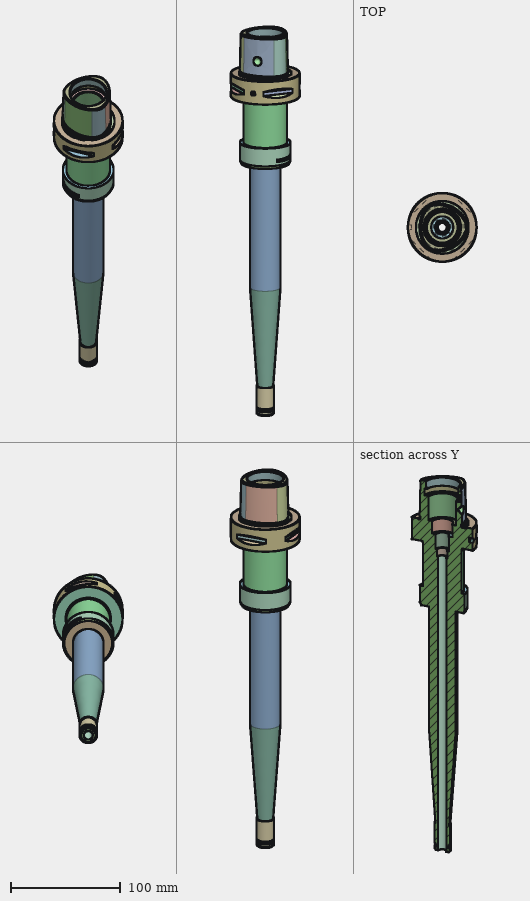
import cadquery as cq
import math

LENGTH = 359.0
COUPLING_LENGTH = 38.0
FLANGE_HEIGHT = 22.0
FLANGE_TOP = LENGTH - COUPLING_LENGTH
FLANGE_BOTTOM = FLANGE_TOP - FLANGE_HEIGHT
COLLAR_TOP = 255.5
COLLAR_BOTTOM = 236.2
TAPER_TOP = 119.2
PILOT_TOP = 26.5
PILOT_BOTTOM = 7.0
TIP_DISC_TOP = 4.0

FLANGE_DIAMETER = 63.0
NECK_DIAMETER = 40.0
COLLAR_DIAMETER = 46.3
SHANK_DIAMETER = 28.0
PILOT_DIAMETER = 16.0
TAPER_END_DIAMETER = 14.7
TIP_GROOVE_DIAMETER = 13.0

FLANGE_CHAMFER = 0.5
NECK_FLARE = 1.8
NECK_FLARE_WIDTH = 0.7
COLLAR_CHAMFER = 3.0
COLLAR_CHAMFER_WIDTH = 1.5
TIP_CHAMFER = 1.5

LOBES = 3
COUPLING_DIAMETER = 44.0
COUPLING_RADIUS = COUPLING_DIAMETER / 2
LOBE_HEIGHT = 1.5
COUPLING_DRAFT = 1 / 40
COUPLING_RIM_HEIGHT = 1.5
COUPLING_RIM_INSET = 0.7
SPANS_PER_SIDE = 8

RELIEF_DIAMETER = 48.0
RELIEF_ABOVE_FLANGE = 2.0
RELIEF_BELOW_FLANGE = 1.0
RELIEF_INSET = 1.0

MOUTH_DIAMETER = 34.0
ENTRY_DIAMETER = 33.0
MOUTH_CHAMFER = (MOUTH_DIAMETER - ENTRY_DIAMETER) / 2
LIP_DIAMETER = 32.0
LIP_DEPTH = 8.3
CLAMP_GROOVE_DIAMETER = 36.0
CLAMP_GROOVE_DEPTH = 14.5
BORE_DIAMETER = 28.0
BORE_CHAMFER_DIAMETER = 29.0
BORE_CHAMFER = (BORE_CHAMFER_DIAMETER - BORE_DIAMETER) / 2
BORE_DEPTH = 38.0
SOCKET_DIAMETER = 20.0
SOCKET_DEPTH = 50.3
SEAT_DIAMETER = 13.0
SEAT_DEPTH = 64.5
THROAT_DIAMETER = 10.0
THROAT_DEPTH = 71.8
COOLANT_DIAMETER = 8.3

DIMPLE_DIAMETER = 8.3
DIMPLE_DEPTH_FROM_TOP = 22.3
DIMPLE_DEPTH = DIMPLE_DIAMETER / 2

GRIP_DEPTH_FROM_FLANGE = 12.0
GRIP_Z = FLANGE_TOP - GRIP_DEPTH_FROM_FLANGE
GRIP_SLOT_DEPTH = 3.5
GRIP_SLOT_FLOOR = 3.5
GRIP_SLOT_MOUTH = 8.3
GRIP_SLOT_COUNT = 4

INDEX_HOLE_DIAMETER = 4.0
INDEX_HOLE_DEPTH = 3.5

BAND_TOP = 244.5
BAND_HEIGHT = 2.0
BAND_DEPTH = 0.5
BAND_HALF_ANGLE = 41


def turned_body():
    """Everything round below the coupling, revolved about Z."""
    flange, neck, collar = FLANGE_DIAMETER / 2, NECK_DIAMETER / 2, COLLAR_DIAMETER / 2
    shank, pilot, groove = SHANK_DIAMETER / 2, PILOT_DIAMETER / 2, TIP_GROOVE_DIAMETER / 2
    groove_slope = pilot - groove
    outline = [
        (0, 0),
        (pilot - TIP_CHAMFER, 0),
        (pilot, TIP_CHAMFER),
        (pilot, TIP_DISC_TOP),
        (groove, TIP_DISC_TOP),
        (groove, PILOT_BOTTOM - groove_slope),
        (pilot, PILOT_BOTTOM),
        (pilot, PILOT_TOP),
        (TAPER_END_DIAMETER / 2, PILOT_TOP),
        (shank, TAPER_TOP),
        (shank, COLLAR_BOTTOM),
        (collar - COLLAR_CHAMFER_WIDTH, COLLAR_BOTTOM),
        (collar, COLLAR_BOTTOM + COLLAR_CHAMFER),
        (collar, COLLAR_TOP),
        (neck, COLLAR_TOP),
        (neck, FLANGE_BOTTOM - NECK_FLARE),
        (neck + NECK_FLARE_WIDTH, FLANGE_BOTTOM),
        (flange - FLANGE_CHAMFER, FLANGE_BOTTOM),
        (flange, FLANGE_BOTTOM + FLANGE_CHAMFER),
        (flange, FLANGE_TOP - FLANGE_CHAMFER),
        (flange - FLANGE_CHAMFER, FLANGE_TOP),
        (0, FLANGE_TOP),
    ]
    return cq.Workplane("XZ").polyline(outline).close().revolve(360, (0, 0), (0, 1))


def lobe_point(radius, degrees):
    """Point of the constant-width three-lobed curve whose normal is at this angle."""
    angle = math.radians(degrees)
    reach = radius + LOBE_HEIGHT * math.cos(LOBES * angle)
    slope = -LOBES * LOBE_HEIGHT * math.sin(LOBES * angle)
    x = reach * math.cos(angle) - slope * math.sin(angle)
    y = reach * math.sin(angle) + slope * math.cos(angle)
    return x, y


def lobed_outline(radius, z):
    """Closed outline made of alternating lobe and flank curves, one lobe toward +X."""
    side_angle = 180 / LOBES
    outline = cq.Workplane("XY", origin=(0, 0, z)).moveTo(*lobe_point(radius, -side_angle / 2))
    for side in range(2 * LOBES):
        start = (side - 0.5) * side_angle
        angles = [start + side_angle * i / SPANS_PER_SIDE for i in range(SPANS_PER_SIDE + 1)]
        ends = [(-math.sin(math.radians(a)), math.cos(math.radians(a))) for a in (angles[0], angles[-1])]
        points = [lobe_point(radius, a) for a in angles]
        outline = outline.spline(points[1:], tangents=ends, includeCurrent=True)
    return outline.close()


def lobed_frustum(bottom_z, bottom_radius, top_z, top_radius):
    bottom = lobed_outline(bottom_radius, bottom_z).val()
    top = lobed_outline(top_radius, top_z).val()
    return cq.Workplane(cq.Solid.makeLoft([bottom, top], True))


def coupling():
    rim_z = LENGTH - COUPLING_RIM_HEIGHT
    rim_radius = COUPLING_RADIUS - COUPLING_DRAFT * (rim_z - FLANGE_TOP)
    shaft = lobed_frustum(FLANGE_TOP, COUPLING_RADIUS, rim_z, rim_radius)
    rim = lobed_frustum(rim_z, rim_radius, LENGTH, rim_radius - COUPLING_RIM_INSET)
    return shaft.union(rim)


def base_relief():
    """Undercut around the root of the coupling, sunk a little into the flange face."""
    bottom = FLANGE_TOP - RELIEF_BELOW_FLANGE
    height = RELIEF_BELOW_FLANGE + RELIEF_ABOVE_FLANGE
    ring = cq.Workplane("XY", origin=(0, 0, bottom)).circle(RELIEF_DIAMETER / 2).extrude(height)
    root_radius = COUPLING_RADIUS - RELIEF_INSET
    root = lobed_outline(root_radius, bottom).extrude(height)
    foot = lobed_frustum(bottom, COUPLING_RADIUS, FLANGE_TOP, root_radius)
    top = FLANGE_TOP + RELIEF_ABOVE_FLANGE
    top_radius = COUPLING_RADIUS - COUPLING_DRAFT * RELIEF_ABOVE_FLANGE
    shoulder = lobed_frustum(top - RELIEF_INSET, root_radius, top, top_radius)
    return ring.cut(root).cut(foot).cut(shoulder)


def stepped_bore():
    lip, groove, bore = LIP_DIAMETER / 2, CLAMP_GROOVE_DIAMETER / 2, BORE_DIAMETER / 2
    socket, seat, coolant = SOCKET_DIAMETER / 2, SEAT_DIAMETER / 2, COOLANT_DIAMETER / 2
    throat = THROAT_DIAMETER / 2
    steps = [
        (0, LENGTH),
        (MOUTH_DIAMETER / 2, LENGTH),
        (ENTRY_DIAMETER / 2, LENGTH - MOUTH_CHAMFER),
        (lip, LENGTH - LIP_DEPTH),
        (groove, LENGTH - LIP_DEPTH),
        (groove, LENGTH - CLAMP_GROOVE_DEPTH),
        (BORE_CHAMFER_DIAMETER / 2, LENGTH - CLAMP_GROOVE_DEPTH),
        (bore, LENGTH - CLAMP_GROOVE_DEPTH - BORE_CHAMFER),
        (bore, LENGTH - BORE_DEPTH),
        (socket, LENGTH - BORE_DEPTH),
        (socket, LENGTH - SOCKET_DEPTH),
        (seat, LENGTH - SOCKET_DEPTH),
        (seat, LENGTH - SEAT_DEPTH),
        (throat, LENGTH - SEAT_DEPTH),
        (throat, LENGTH - THROAT_DEPTH),
        (coolant, LENGTH - THROAT_DEPTH),
        (coolant, 0),
        (0, 0),
    ]
    return cq.Workplane("XZ").polyline(steps).close().revolve(360, (0, 0), (0, 1))


def grip_slots():
    """V-sided slots cut straight across the flange rim at the four diagonals."""
    rim = FLANGE_DIAMETER / 2
    floor_x = rim - GRIP_SLOT_DEPTH
    section = [
        (floor_x, GRIP_Z - GRIP_SLOT_FLOOR / 2),
        (rim, GRIP_Z - GRIP_SLOT_MOUTH / 2),
        (rim, GRIP_Z + GRIP_SLOT_MOUTH / 2),
        (floor_x, GRIP_Z + GRIP_SLOT_FLOOR / 2),
    ]
    slot = cq.Workplane("XZ").polyline(section).close().extrude(rim, both=True)
    step = 360 / GRIP_SLOT_COUNT
    return [slot.rotate((0, 0, 0), (0, 0, 1), (i + 0.5) * step) for i in range(GRIP_SLOT_COUNT)]


def drive_dimple():
    """Short cone-bottomed hole in the middle of the -X flank."""
    z = LENGTH - DIMPLE_DEPTH_FROM_TOP
    flank_radius = COUPLING_RADIUS - COUPLING_DRAFT * (z - FLANGE_TOP)
    surface_x = LOBE_HEIGHT - flank_radius
    section = [
        (surface_x - DIMPLE_DIAMETER, z),
        (surface_x - DIMPLE_DIAMETER, z + DIMPLE_DIAMETER / 2),
        (surface_x, z + DIMPLE_DIAMETER / 2),
        (surface_x + DIMPLE_DEPTH, z),
    ]
    return cq.Workplane("XZ").polyline(section).close().revolve(360, (0, z), (1, z))


def index_hole():
    """Blind hole in the flange rim on the -X side."""
    rim = cq.Workplane("YZ", origin=(-FLANGE_DIAMETER / 2, 0, GRIP_Z))
    return rim.circle(INDEX_HOLE_DIAMETER / 2).extrude(INDEX_HOLE_DEPTH)


def collar_band():
    """Shallow recess running part of the way round the collar, centred on -Y."""
    floor = COLLAR_DIAMETER / 2 - BAND_DEPTH
    section = cq.Workplane("XZ").moveTo(floor, BAND_TOP - BAND_HEIGHT)
    section = section.hLine(2 * BAND_DEPTH).vLine(BAND_HEIGHT).hLine(-2 * BAND_DEPTH).close()
    band = section.revolve(2 * BAND_HALF_ANGLE, (0, 0), (0, 1))
    middle = band.val().Center()
    turn_to_front = -90 - math.degrees(math.atan2(middle.y, middle.x))
    return band.rotate((0, 0, 0), (0, 0, 1), turn_to_front)


body = turned_body().union(coupling())
body = body.cut(base_relief()).cut(stepped_bore())
for slot in grip_slots():
    body = body.cut(slot)
result = body.cut(drive_dimple()).cut(index_hole()).cut(collar_band())